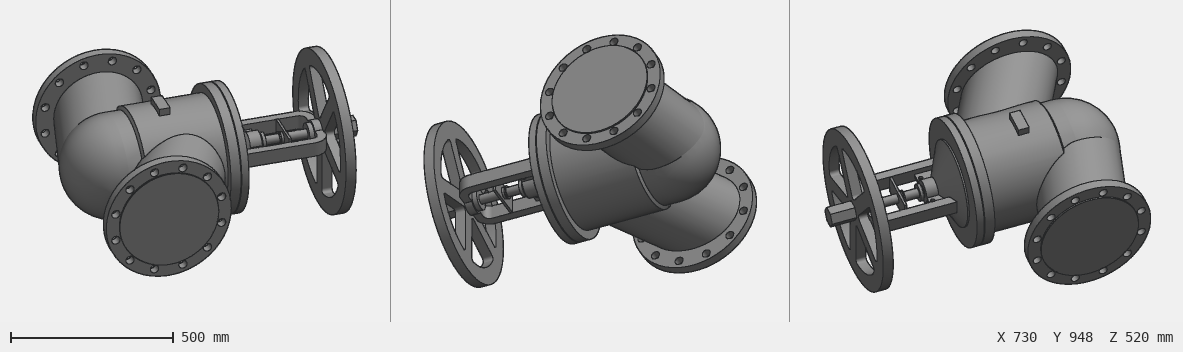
import cadquery as cq
import math

OVERALL_LENGTH = 948
FACE_TO_FACE = 730

FLANGE_DIA = 405.0
FLANGE_THICKNESS = 30.0
FACE_DIA = 320.0
FACE_HEIGHT = 6.0
BOLT_CIRCLE_DIA = 354.5
BOLT_HOLE_DIA = 27.0
BOLT_COUNT = 12
FLANGE_BACK_X = FACE_TO_FACE / 2 - FACE_HEIGHT - FLANGE_THICKNESS

BRANCH_DIA = 279.0
INLET_ANGLE = 15
INLET_END_X = 0
OUTLET_ANGLE = 29
OUTLET_END_X = 57

BOWL_RADIUS = 167.0
BOWL_CENTER_Y = -61.0
BODY_RADIUS = 178.0
BODY_BOTTOM_Y = -14.0
BODY_CHAMFER_HEIGHT = 7.0

JOINT_RADIUS = 207.0
JOINT_BOTTOM_Y = 252.0
LOWER_JOINT_THICKNESS = 32.0
GASKET_THICKNESS = 3.0
UPPER_JOINT_THICKNESS = 24.0
JOINT_TOP_Y = JOINT_BOTTOM_Y + LOWER_JOINT_THICKNESS + GASKET_THICKNESS + UPPER_JOINT_THICKNESS
CONE_BASE_RADIUS = 140.0
CONE_RIM_HEIGHT = 6.0
CONE_HEIGHT = 55.0
NECK_RADIUS = 36.0
NECK_LENGTH = 39.0
CONE_BASE_Y = JOINT_TOP_Y + CONE_RIM_HEIGHT
CONE_TOP_Y = CONE_BASE_Y + CONE_HEIGHT
NECK_TOP_Y = CONE_TOP_Y + NECK_LENGTH

GLAND_NECK_RADIUS = 19
GLAND_NECK_LENGTH = 6.0
GLAND_RADIUS = 27.5
GLAND_THICKNESS = 10.0

STEM_RADIUS = 15.0
PLATE_WIDTH = 129.0
PLATE_DEPTH = 61.0
PLATE_THICKNESS = 8.0
PLATE_Y = 487.0
COLLAR_RADIUS = 19
COLLAR_LENGTH = 13.0
COLLAR_LIP_RADIUS = 21.0
COLLAR_LIP_THICKNESS = 5.0

WHEEL_RADIUS = 520.0 / 2
WHEEL_THICKNESS = 33.0
WHEEL_Y = 607
RIM_INNER_RADIUS = 206.0
SPOKE_COUNT = 5
SPOKE_WIDTH = 49.0
WINDOW_FILLET = 11.0
STEM_NUT_CORNER_DIA = 64.0
STEM_NUT_TOP_Y = BOWL_CENTER_Y - BOWL_RADIUS + OVERALL_LENGTH

YOKE_WIDTH = 202.0
YOKE_ARM_WIDTH = 28
YOKE_DEPTH = 47
YOKE_FOOT_Y = 335.0
YOKE_TOP_Y = 609.5
YOKE_OUTER_RADIUS = 49.0
YOKE_INNER_RADIUS = YOKE_OUTER_RADIUS - YOKE_ARM_WIDTH
YOKE_HUB_RADIUS = 40.0
YOKE_BUSH_RADIUS = 33.0
YOKE_BUSH_LENGTH = 16.0

WEB_THICKNESS = 9.5
WEB_HOLE_DIA = 13.0
WEB_HOLE_SPACING = 103.0
WEB_HOLE_DROP = 13.0

PAD_WIDTH = 79.0
PAD_LENGTH = 35.0
PAD_CENTER_Y = 93.0
PAD_TOP_Z = 197.0


def disc(radius, y_start, length):
    """Cylinder on the spindle axis."""
    return cq.Workplane("XZ", origin=(0, y_start, 0)).circle(radius).extrude(-length)


def block(width, y_start, length, depth):
    """Box centred on the spindle axis."""
    return cq.Workplane("XZ", origin=(0, y_start, 0)).rect(width, depth).extrude(-length)


def pipe_flange(side):
    """Drilled flange with a raised face; side is -1 for the inlet, +1 for the outlet."""
    plane = cq.Plane(origin=(side * FLANGE_BACK_X, 0, 0), xDir=(0, 1, 0), normal=(side, 0, 0))
    half_pitch = 180 / BOLT_COUNT
    flange = cq.Workplane(plane).circle(FLANGE_DIA / 2).extrude(FLANGE_THICKNESS)
    holes = (
        cq.Workplane(plane)
        .polarArray(BOLT_CIRCLE_DIA / 2, half_pitch, 360, BOLT_COUNT)
        .circle(BOLT_HOLE_DIA / 2)
        .extrude(FLANGE_THICKNESS)
    )
    face = cq.Workplane(plane).circle(FACE_DIA / 2).extrude(FLANGE_THICKNESS + FACE_HEIGHT)
    return flange.cut(holes).union(face)


def branch(side, slope, end_x):
    """Round branch from the flange back to distance end_x from the spindle axis."""
    tilt = math.radians(slope)
    radius = BRANCH_DIA / 2
    overrun = radius * math.tan(tilt)
    axis = cq.Vector(-side * math.cos(tilt), side * math.sin(tilt), 0)
    start = cq.Vector(side * FLANGE_BACK_X, 0, 0) - axis * overrun
    length = (FLANGE_BACK_X - end_x) / math.cos(tilt) + overrun
    bar = cq.Workplane(obj=cq.Solid.makeCylinder(radius, length, start, axis))
    inside_flanges = cq.Workplane().box(2 * FLANGE_BACK_X, OVERALL_LENGTH, OVERALL_LENGTH)
    return bar.intersect(inside_flanges)


def body():
    """Body barrel with a chamfered lower rim above a round bowl."""
    shoulder_y = BODY_BOTTOM_Y + BODY_CHAMFER_HEIGHT
    return (
        cq.Workplane("XY")
        .moveTo(0, BOWL_CENTER_Y - BOWL_RADIUS)
        .radiusArc((BOWL_RADIUS, BOWL_CENTER_Y), -BOWL_RADIUS)
        .lineTo(BOWL_RADIUS, BODY_BOTTOM_Y)
        .lineTo(BODY_RADIUS, shoulder_y)
        .lineTo(BODY_RADIUS, JOINT_BOTTOM_Y)
        .lineTo(0, JOINT_BOTTOM_Y)
        .close()
        .revolve(360, (0, 0, 0), (0, 1, 0))
    )


def bonnet():
    """Bolted joint, cone, neck and gland."""
    gasket_y = JOINT_BOTTOM_Y + LOWER_JOINT_THICKNESS
    cone = (
        cq.Workplane("XY")
        .moveTo(0, JOINT_TOP_Y)
        .lineTo(CONE_BASE_RADIUS, JOINT_TOP_Y)
        .lineTo(CONE_BASE_RADIUS, CONE_BASE_Y)
        .lineTo(NECK_RADIUS, CONE_TOP_Y)
        .lineTo(NECK_RADIUS, NECK_TOP_Y)
        .lineTo(0, NECK_TOP_Y)
        .close()
        .revolve(360, (0, 0, 0), (0, 1, 0))
    )
    return (
        cone.union(disc(JOINT_RADIUS, JOINT_BOTTOM_Y, LOWER_JOINT_THICKNESS))
        .union(disc(BODY_RADIUS, gasket_y, GASKET_THICKNESS))
        .union(disc(JOINT_RADIUS, gasket_y + GASKET_THICKNESS, UPPER_JOINT_THICKNESS))
        .union(disc(GLAND_NECK_RADIUS, NECK_TOP_Y, GLAND_NECK_LENGTH))
        .union(disc(GLAND_RADIUS, NECK_TOP_Y + GLAND_NECK_LENGTH, GLAND_THICKNESS))
    )


def stem():
    """Plain stem with the indicator plate, its collar and the hexagonal stem nut."""
    collar_y = PLATE_Y - COLLAR_LENGTH
    nut = (
        cq.Workplane("XZ", origin=(0, WHEEL_Y, 0))
        .polygon(6, STEM_NUT_CORNER_DIA)
        .extrude(WHEEL_Y - STEM_NUT_TOP_Y)
    )
    return (
        disc(STEM_RADIUS, NECK_TOP_Y, WHEEL_Y - NECK_TOP_Y)
        .union(block(PLATE_WIDTH, PLATE_Y, PLATE_THICKNESS, PLATE_DEPTH))
        .union(disc(COLLAR_RADIUS, collar_y, COLLAR_LENGTH))
        .union(disc(COLLAR_LIP_RADIUS, collar_y, COLLAR_LIP_THICKNESS))
        .union(nut)
    )


def handwheel():
    """Flat wheel whose windows are bounded by the rim and two neighbouring spokes."""
    spoke_pitch = 360 / SPOKE_COUNT
    half_pitch = math.radians(spoke_pitch / 2)
    half_spoke = SPOKE_WIDTH / 2
    apex_z = half_spoke / math.sin(half_pitch)
    corner = half_pitch - math.asin(half_spoke / RIM_INNER_RADIUS)
    corner_x = RIM_INNER_RADIUS * math.sin(corner)
    corner_z = RIM_INNER_RADIUS * math.cos(corner)
    window = (
        cq.Workplane("XZ", origin=(0, WHEEL_Y, 0))
        .moveTo(0, apex_z)
        .lineTo(corner_x, corner_z)
        .threePointArc((0, RIM_INNER_RADIUS), (-corner_x, corner_z))
        .close()
        .extrude(-WHEEL_THICKNESS)
        .edges("|Y")
        .fillet(WINDOW_FILLET)
    )
    wheel = disc(WHEEL_RADIUS, WHEEL_Y, WHEEL_THICKNESS)
    for index in range(SPOKE_COUNT):
        wheel = wheel.cut(window.rotate((0, 0, 0), (0, 1, 0), index * spoke_pitch))
    return wheel


def arch(width, top_y, corner_radius, depth):
    """Upright slab from the yoke foot with rounded upper corners."""
    height = top_y - YOKE_FOOT_Y
    return (
        cq.Workplane("XY")
        .box(width, height, depth)
        .translate((0, YOKE_FOOT_Y + height / 2, 0))
        .edges("|Z and >Y")
        .fillet(corner_radius)
    )


def yoke():
    """Arched yoke with its hub, bush and drilled web."""
    inner_width = YOKE_WIDTH - 2 * YOKE_ARM_WIDTH
    inner_top_y = YOKE_TOP_Y - YOKE_ARM_WIDTH
    opening = arch(inner_width, inner_top_y, YOKE_INNER_RADIUS, YOKE_DEPTH)
    web = (
        block(inner_width, YOKE_FOOT_Y, NECK_TOP_Y - YOKE_FOOT_Y, WEB_THICKNESS)
        .faces(">Z")
        .workplane(origin=(0, NECK_TOP_Y - WEB_HOLE_DROP, 0))
        .rarray(WEB_HOLE_SPACING, 9.5, 2, 1)
        .hole(WEB_HOLE_DIA)
    )
    return (
        arch(YOKE_WIDTH, YOKE_TOP_Y, YOKE_OUTER_RADIUS, YOKE_DEPTH)
        .cut(opening)
        .union(web)
        .union(disc(YOKE_HUB_RADIUS, inner_top_y, WHEEL_Y - inner_top_y))
        .union(disc(YOKE_BUSH_RADIUS, inner_top_y - YOKE_BUSH_LENGTH, YOKE_BUSH_LENGTH))
    )


def name_pad():
    """Rectangular pad standing on the upper side of the body."""
    return (
        cq.Workplane("XY", origin=(0, PAD_CENTER_Y, 0))
        .rect(PAD_WIDTH, PAD_LENGTH)
        .extrude(PAD_TOP_Z)
    )


result = (
    body()
    .union(branch(-1, INLET_ANGLE, INLET_END_X))
    .union(branch(1, OUTLET_ANGLE, OUTLET_END_X))
    .union(pipe_flange(-1))
    .union(pipe_flange(1))
    .union(name_pad())
    .union(bonnet())
    .union(yoke())
    .union(stem())
    .union(handwheel())
)